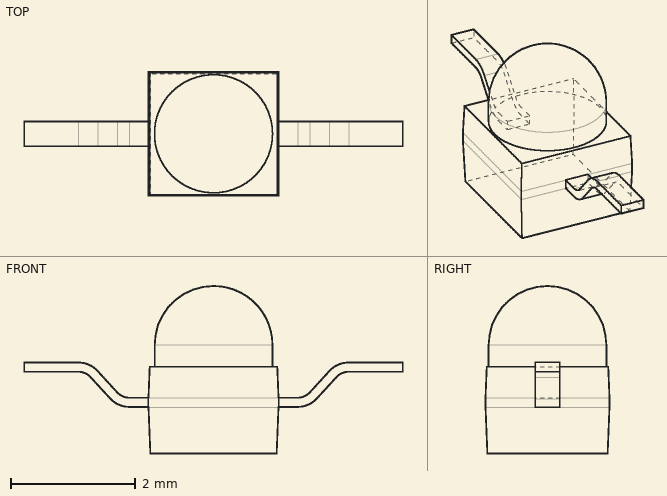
import cadquery as cq
import math

overall_length = 6.1
overall_height = 2.7

body_length = 2.1
body_width = 2.0
body_top = 1.4
band_bottom = 0.75
draft_angle = 2.3

lens_radius = 0.95

lead_thickness = 0.15
lead_width = 0.4
lead_rise = 0.57
foot_length = 0.87
bend_inner_radius = 0.27
bend_angle = 47.5

band_top = band_bottom + lead_thickness


def make_body():
    band = (
        cq.Workplane("XY", origin=(0, 0, band_bottom))
        .rect(body_length, body_width)
        .extrude(lead_thickness)
    )
    upper_block = (
        cq.Workplane("XY", origin=(0, 0, band_top))
        .rect(body_length, body_width)
        .extrude(body_top - band_top, taper=draft_angle)
    )
    lower_block = (
        cq.Workplane("XY", origin=(0, 0, band_bottom))
        .rect(body_length, body_width)
        .extrude(-band_bottom, taper=draft_angle)
    )
    return band.union(upper_block).union(lower_block)


def make_lens():
    dome_base = overall_height - lens_radius
    cylinder = (
        cq.Workplane("XY", origin=(0, 0, body_top))
        .circle(lens_radius)
        .extrude(dome_base - body_top)
    )
    dome = (
        cq.Workplane("XY", origin=(0, 0, dome_base))
        .sphere(lens_radius, angle1=0)
    )
    return cylinder.union(dome)


def make_left_lead():
    """Sweep the strip section along its centre line, from the foot tip to the middle of the body."""
    bend_radius = bend_inner_radius + lead_thickness / 2
    angle = math.radians(bend_angle)
    bend_run = bend_radius * math.sin(angle)
    bend_drop = bend_radius * (1 - math.cos(angle))
    ramp_drop = lead_rise - 2 * bend_drop
    ramp_run = ramp_drop / math.tan(angle)

    tip_x = -overall_length / 2
    foot_end_x = tip_x + foot_length
    ramp_start_x = foot_end_x + bend_run
    ramp_end_x = ramp_start_x + ramp_run
    shank_start_x = ramp_end_x + bend_run

    shank_z = band_bottom + lead_thickness / 2
    foot_z = shank_z + lead_rise

    centre_line = (
        cq.Workplane("XZ")
        .moveTo(tip_x, foot_z)
        .lineTo(foot_end_x, foot_z)
        .radiusArc((ramp_start_x, foot_z - bend_drop), bend_radius)
        .lineTo(ramp_end_x, shank_z + bend_drop)
        .radiusArc((shank_start_x, shank_z), -bend_radius)
        .lineTo(0, shank_z)
    )
    section = cq.Workplane("YZ", origin=(tip_x, 0, foot_z)).rect(lead_width, lead_thickness)
    return section.sweep(centre_line)


left_lead = make_left_lead()
right_lead = left_lead.mirror("YZ")

result = make_body().union(make_lens()).union(left_lead).union(right_lead)